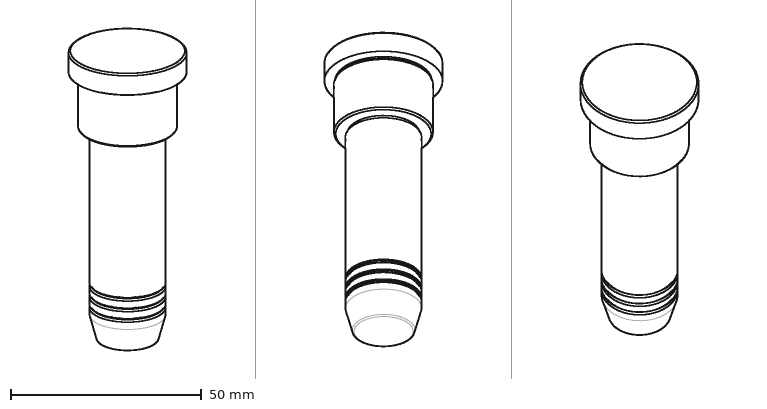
import cadquery as cq
import math

total_length = 82.0
edge_chamfer = 0.5

head_diameter = 31.0
head_thickness = 6.0

collar_diameter = 26.0
collar_end = 22.0
collar_relief_height = 0.5
collar_relief_depth = 0.3
collar_relief_slope_height = 0.5

shank_diameter = 20.0
undercut_height = 1.0
undercut_depth = 0.5

groove_count = 3
groove_pitch = 3.0
groove_depth = 0.5
groove_floor_height = 0.5
groove_slope_height = 0.5

taper_length = 7.0
taper_angle = 15.0
tip_fillet = 0.5
first_groove_top = taper_length + groove_count * groove_pitch


def revolve_outline(points):
    """Solid of revolution about Z from a closed outline of (radius, height) points."""
    return cq.Workplane("XZ").polyline(points).close().revolve(360, (0, 0), (0, 1))


def make_head():
    head_base = cq.Workplane("XY").workplane(offset=total_length - head_thickness)
    head = head_base.circle(head_diameter / 2).extrude(head_thickness)
    return head.faces(">Z").chamfer(edge_chamfer)


def make_collar():
    """Collar with sloped ends, joined to the head by a short relief neck."""
    head_bottom = total_length - head_thickness
    neck_bottom = head_bottom - collar_relief_height
    collar_bottom = total_length - collar_end
    collar_radius = collar_diameter / 2
    neck_radius = collar_radius - collar_relief_depth
    return revolve_outline([
        (0, collar_bottom),
        (collar_radius - edge_chamfer, collar_bottom),
        (collar_radius, collar_bottom + edge_chamfer),
        (collar_radius, neck_bottom - collar_relief_slope_height),
        (neck_radius, neck_bottom),
        (neck_radius, head_bottom),
        (0, head_bottom),
    ])


def make_shank():
    """Shank with its tapered tip and the undercut under the collar."""
    collar_bottom = total_length - collar_end
    undercut_bottom = collar_bottom - undercut_height
    shank_radius = shank_diameter / 2
    undercut_radius = shank_radius - undercut_depth
    taper_slope = math.tan(math.radians(taper_angle))
    taper_end_radius = shank_radius - taper_length * taper_slope
    outline = [
        (0, 0),
        (taper_end_radius, 0),
        (shank_radius, taper_length),
        (shank_radius, undercut_bottom),
        (undercut_radius, undercut_bottom),
        (undercut_radius, collar_bottom),
        (0, collar_bottom),
    ]
    shank = revolve_outline(outline)
    return shank.faces("<Z").edges().fillet(tip_fillet)


def ring_groove(top):
    """Ring of material to remove, with its flat upper wall at the given height."""
    outer_radius = shank_diameter / 2
    floor_radius = outer_radius - groove_depth
    floor_bottom = top - groove_floor_height
    outline = [
        (outer_radius, top),
        (floor_radius, top),
        (floor_radius, floor_bottom),
        (outer_radius, floor_bottom - groove_slope_height),
    ]
    return revolve_outline(outline)


result = make_shank().union(make_collar()).union(make_head())
for index in range(groove_count):
    result = result.cut(ring_groove(first_groove_top - index * groove_pitch))